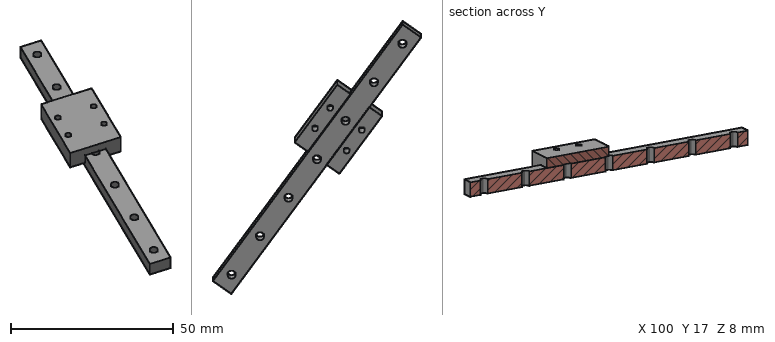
import cadquery as cq

rail_length = 100.0
rail_width = 7.0
rail_height = 4.8
rail_hole_diameter = 2.5
rail_hole_count = 7
rail_hole_pitch = 15.0

carriage_length = 22.5
carriage_width = 17.0
carriage_top = 8.0
ground_clearance = 1.5
carriage_height = carriage_top - ground_clearance
carriage_start = 27.5
carriage_x = -rail_length / 2 + carriage_start + carriage_length / 2
mount_hole_diameter = 1.8
mount_spacing_x = 8.0
mount_spacing_y = 12.0


def make_rail():
    """Rectangular rail with a row of through holes along its middle."""
    bar = cq.Workplane("XY").box(rail_length, rail_width, rail_height, centered=(True, True, False))
    return (
        bar.faces(">Z").workplane()
        .rarray(rail_hole_pitch, 1, rail_hole_count, 1)
        .hole(rail_hole_diameter)
    )


def make_carriage():
    """Block with a channel that fits the rail and four through mounting holes."""
    block = (
        cq.Workplane("XY", origin=(carriage_x, 0, ground_clearance))
        .box(carriage_length, carriage_width, carriage_height, centered=(True, True, False))
        .faces(">Z").workplane()
        .rarray(mount_spacing_x, mount_spacing_y, 2, 2)
        .hole(mount_hole_diameter)
    )
    channel = cq.Workplane("XY").box(rail_length, rail_width, rail_height, centered=(True, True, False))
    return block.cut(channel)


rail = make_rail()
carriage = make_carriage()

result = cq.Compound.makeCompound([rail.val(), carriage.val()])